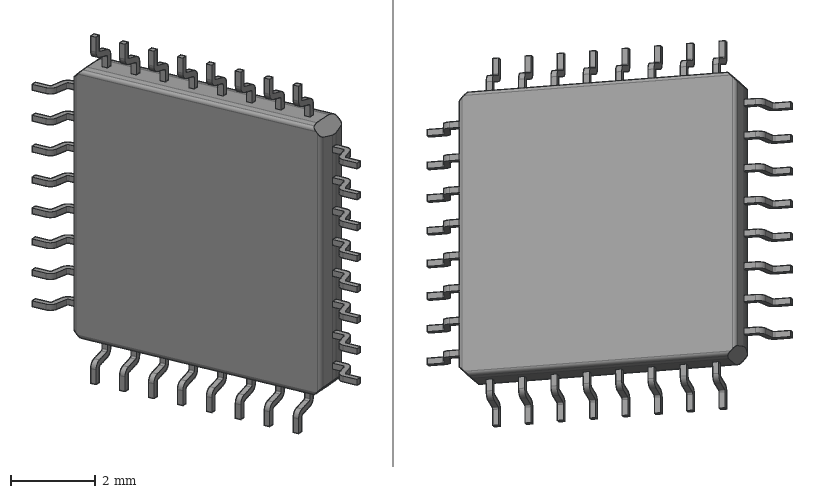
import cadquery as cq
import math


BODY_WIDTH = 7.01
BODY_THICKNESS = 1.01
CORNER_CHAMFER = 0.32
DRAFT_ANGLE = math.radians(10)
EDGE_RADIUS = 0.1
X_SIDE_BAND = 0.16
Z_SIDE_BAND = 0.56

TIP_TO_TIP = 9.0
LEADS_PER_SIDE = 8
LEAD_PITCH = 0.8
LEAD_WIDTH = 0.15
LEAD_THICKNESS = 0.15
STANDOFF = 0.1
FOOT_LENGTH = 0.39
BEND_RADIUS = 0.13
LEG_TILT = math.radians(13)
LEAD_EMBED = 0.18


def body_bar(plane, band):
    """Bar through the body with drafted, rounded sides, extruded along the plane's normal."""
    half_width = BODY_WIDTH / 2
    half_thickness = BODY_THICKNESS / 2
    band_top = band / 2
    round_start_y = half_thickness - EDGE_RADIUS * (1 - math.sin(DRAFT_ANGLE))
    round_start_x = half_width - (round_start_y - band_top) * math.tan(DRAFT_ANGLE)
    round_end_x = round_start_x - EDGE_RADIUS * math.cos(DRAFT_ANGLE)
    round_centre_y = half_thickness - EDGE_RADIUS
    round_mid_angle = (DRAFT_ANGLE + math.pi / 2) / 2
    round_mid = (
        round_end_x + EDGE_RADIUS * math.cos(round_mid_angle),
        round_centre_y + EDGE_RADIUS * math.sin(round_mid_angle),
    )
    quarter = (
        cq.Workplane(plane)
        .lineTo(half_width, 0)
        .lineTo(half_width, band_top)
        .lineTo(round_start_x, round_start_y)
        .threePointArc(round_mid, (round_end_x, half_thickness))
        .lineTo(0, half_thickness)
        .close()
        .extrude(half_width, both=True)
    )
    half = quarter.union(quarter.mirror("XZ"))
    return half.union(half.rotate((0, 0, 0), (0, 1, 0), 180)).clean()


def make_body():
    """Square body whose two pairs of sides have different bands, with its four corners cut off."""
    corner_cut_plate = (
        cq.Workplane("XZ")
        .rect(BODY_WIDTH, BODY_WIDTH)
        .extrude(BODY_THICKNESS, both=True)
        .edges("|Y")
        .chamfer(CORNER_CHAMFER)
    )
    x_sides = body_bar("XY", X_SIDE_BAND)
    z_sides = body_bar("ZY", Z_SIDE_BAND)
    return corner_cut_plate.intersect(x_sides).intersect(z_sides)


def make_lead():
    """Gull-wing lead on the +X side at Z = 0."""
    half_thickness = LEAD_THICKNESS / 2
    foot_y = -BODY_THICKNESS / 2 - STANDOFF + half_thickness
    sweep = math.pi / 2 - LEG_TILT
    leg_length = (-foot_y - 2 * BEND_RADIUS * (1 - math.cos(sweep))) / math.sin(sweep)
    foot_start_x = TIP_TO_TIP / 2 - FOOT_LENGTH
    bends_span = 2 * BEND_RADIUS * math.sin(sweep) + leg_length * math.cos(sweep)
    shoulder_end_x = foot_start_x - bends_span
    shoulder_centre_y = -BEND_RADIUS
    foot_centre_y = foot_y + BEND_RADIUS

    def shoulder_point(angle, offset):
        radius = BEND_RADIUS + offset
        return (shoulder_end_x + radius * math.sin(angle), shoulder_centre_y + radius * math.cos(angle))

    def foot_point(angle, offset):
        radius = BEND_RADIUS - offset
        return (foot_start_x - radius * math.sin(angle), foot_centre_y - radius * math.cos(angle))

    root_x = BODY_WIDTH / 2 - LEAD_EMBED
    tip_x = TIP_TO_TIP / 2
    upper = half_thickness
    lower = -half_thickness
    return (
        cq.Workplane("XY")
        .moveTo(root_x, upper)
        .lineTo(*shoulder_point(0, upper))
        .threePointArc(shoulder_point(sweep / 2, upper), shoulder_point(sweep, upper))
        .lineTo(*foot_point(sweep, upper))
        .threePointArc(foot_point(sweep / 2, upper), foot_point(0, upper))
        .lineTo(tip_x, foot_y + upper)
        .lineTo(tip_x, foot_y + lower)
        .lineTo(*foot_point(0, lower))
        .threePointArc(foot_point(sweep / 2, lower), foot_point(sweep, lower))
        .lineTo(*shoulder_point(sweep, lower))
        .threePointArc(shoulder_point(sweep / 2, lower), shoulder_point(0, lower))
        .lineTo(root_x, lower)
        .close()
        .extrude(LEAD_WIDTH / 2, both=True)
    )


def make_package():
    """Body joined with an equal row of leads on each of its four sides."""
    package = make_body()
    lead = make_lead()
    first_lead_z = -LEAD_PITCH * (LEADS_PER_SIDE - 1) / 2
    for side_angle in (0, 90, 180, 270):
        for index in range(LEADS_PER_SIDE):
            placed_lead = lead.translate((0, 0, first_lead_z + index * LEAD_PITCH))
            package = package.union(placed_lead.rotate((0, 0, 0), (0, 1, 0), side_angle))
    return package


result = make_package()